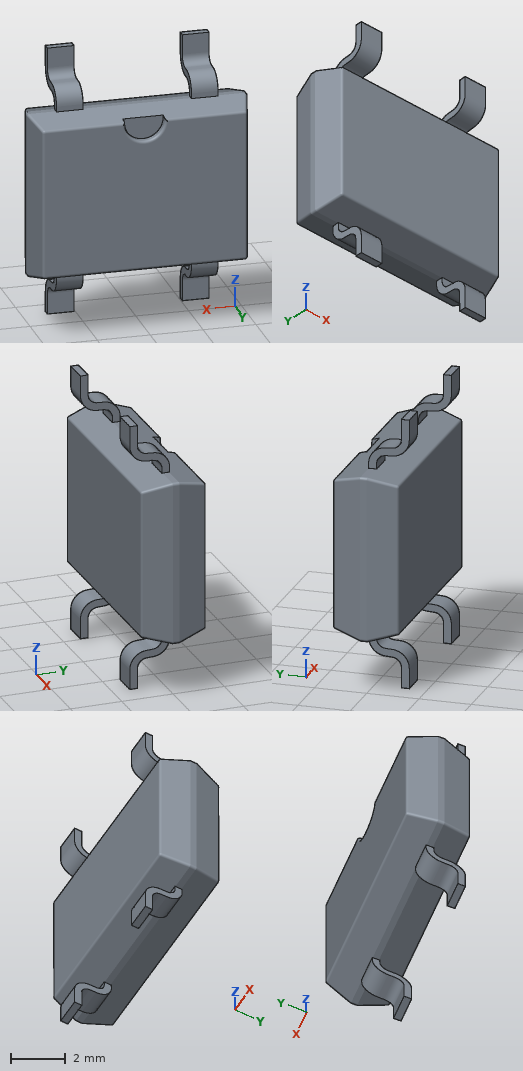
import cadquery as cq
import math

body_length = 8.32
body_height = 6.35
body_depth = 2.52
band_depth = 0.25
draft_angle = 15.0
edge_radius = 0.1
drafted_depth = (body_depth - band_depth) / 2

notch_radius = 0.76
notch_depth = 0.31
back_face_top = body_height / 2 - drafted_depth * math.tan(math.radians(draft_angle))

lead_tip_height = 5.2
lead_width = 1.01
lead_thickness = 0.3
lead_pitch = 5.11
lead_exit = 0.19
lead_buried = 0.42
bend_radius = 0.52
bend_angle = math.radians(87.0)
standoff = 0.15


def drafted_half(direction):
    """Drafted half of the body from the band outwards; direction is the sign of Y."""
    return (
        cq.Workplane("XZ", origin=(0, direction * band_depth / 2, 0))
        .rect(body_length, body_height)
        .extrude(-direction * drafted_depth, taper=draft_angle)
    )


def make_body():
    band = cq.Workplane("XZ").rect(body_length, body_height).extrude(band_depth / 2, both=True)
    body = band.union(drafted_half(1)).union(drafted_half(-1))
    rounded = body.edges("not(#Y)").fillet(edge_radius)
    return rounded.faces("<Y or >Y").edges().fillet(edge_radius)


def cut_notch(body):
    notch = (
        cq.Workplane("XZ", origin=(0, body_depth / 2 - notch_depth, back_face_top))
        .circle(notch_radius)
        .extrude(-notch_depth)
    )
    rim_radius = notch_radius + edge_radius
    rim_start = body_depth / 2 - edge_radius
    blend = edge_radius * math.sin(math.radians(45))
    flare = (
        cq.Workplane("XY", origin=(0, 0, back_face_top))
        .moveTo(0, rim_start)
        .lineTo(notch_radius, rim_start)
        .threePointArc((rim_radius - blend, rim_start + blend), (rim_radius, body_depth / 2))
        .lineTo(0, body_depth / 2)
        .close()
        .revolve(360, (0, 0, 0), (0, 1, 0))
    )
    return body.cut(notch).cut(flare)


def make_lead():
    """Upper lead centred on X = 0, swept along its bent centre line in the YZ plane."""
    drop = body_depth / 2 + standoff - lead_thickness / 2
    bend_run = bend_radius * (1 - math.cos(bend_angle))
    bend_rise = bend_radius * math.sin(bend_angle)
    link_run = drop - 2 * bend_run
    link_rise = link_run / math.tan(bend_angle)

    half_run = bend_radius * (1 - math.cos(bend_angle / 2))
    half_rise = bend_radius * math.sin(bend_angle / 2)
    bend_start = body_height / 2 + lead_exit
    link_start = (-bend_run, bend_start + bend_rise)
    link_end = (link_start[0] - link_run, link_start[1] + link_rise)
    foot_start = (-drop, link_end[1] + bend_rise)
    centre_line = (
        cq.Workplane("YZ")
        .moveTo(0, body_height / 2 - lead_buried)
        .lineTo(0, bend_start)
        .threePointArc((-half_run, bend_start + half_rise), link_start)
        .lineTo(*link_end)
        .threePointArc((-drop + half_run, foot_start[1] - half_rise), foot_start)
        .lineTo(-drop, lead_tip_height)
    )
    return (
        cq.Workplane("XY", origin=(0, 0, body_height / 2 - lead_buried))
        .rect(lead_width, lead_thickness)
        .sweep(centre_line)
    )


result = cut_notch(make_body())
upper_lead = make_lead()
lower_lead = upper_lead.mirror("XY")
for side in (-1, 1):
    shift = (side * lead_pitch / 2, 0, 0)
    result = result.union(upper_lead.translate(shift)).union(lower_lead.translate(shift))